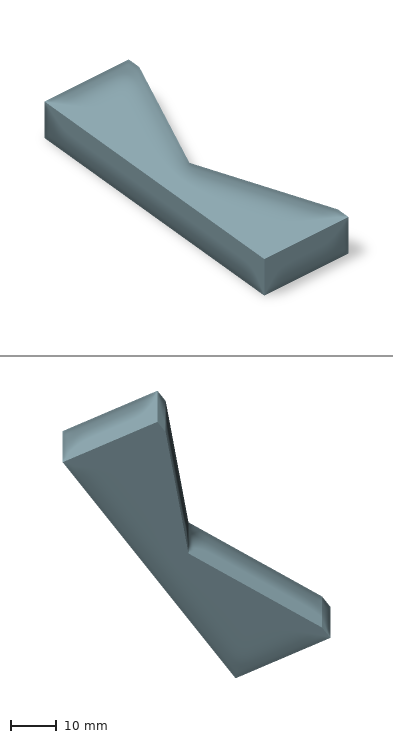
import cadquery as cq

length = 75.0
width = 24.0
thickness = 10.0
land_width = 3.6
web_width = 10.0

half_length = length / 2
notch_half_width = half_length - land_width
profile = [
    (-half_length, 0),
    (half_length, 0),
    (half_length, width),
    (notch_half_width, width),
    (0, web_width),
    (-notch_half_width, width),
    (-half_length, width),
]

result = cq.Workplane("XY").polyline(profile).close().extrude(thickness)